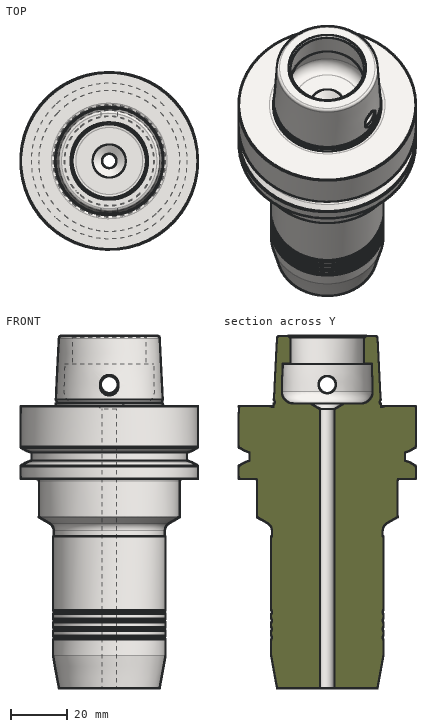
import cadquery as cq
import math

TOTAL_LENGTH = 124.9

BODY_RADIUS = 20.0
NOSE_END_RADIUS = 17.9
NOSE_HEIGHT = 11.6
GRIP_FIRST_Z = 18.0
GRIP_PITCH = 3.0
GRIP_COUNT = 4
GRIP_HALF_WIDTH = 0.7
GRIP_DEPTH = 0.4

BODY_TOP_Z = 53.7
NECK_RADIUS = 19.7
NECK_FILLET_START_Z = 55.8
NECK_FILLET_RADIUS = 3.0
CONE_ANGLE = math.radians(30)

BOSS_RADIUS = 25.0
BOSS_EDGE_FILLET = 0.4
BOSS_ROOT_FILLET = 0.6
FLANGE_RADIUS = 31.5
FLANGE_BOTTOM_Z = 74.1
FLANGE_TOP_Z = 100.0
FLANGE_CHAMFER = 0.2

GROOVE_MID_Z = 82.0
GROOVE_MOUTH_WIDTH = 6.5
GROOVE_FLOOR_RADIUS = 27.6
GROOVE_FLOOR_WIDTH = 2.7
GROOVE_WALL_RADIUS = 29.2

TAPER_RADIUS = 19.0
TAPER_BOTTOM_Z = 102.3
TAPER_SLOPE = 1 / 20
TAPER_TIP_FILLET = 1.0
RELIEF_RADIUS = 18.6
RELIEF_BOTTOM_Z = 101.2
COLLAR_TOP_Z = 100.8
FACE_GROOVE_INNER_RADIUS = 19.2
FACE_GROOVE_OUTER_RADIUS = 20.5
FACE_GROOVE_DEPTH = 0.4

BORE_RADIUS = 13.0
BORE_CHAMFER = 0.7
BORE_LENGTH = 10.0
RECESS_START_RADIUS = 15.7
RECESS_RADIUS = 16.0
RECESS_TAPER_END_DEPTH = 19.9
RECESS_FLOOR_RADIUS = 11.9
RECESS_FILLET = RECESS_RADIUS - RECESS_FLOOR_RADIUS
RECESS_FLOOR_DEPTH = RECESS_TAPER_END_DEPTH + RECESS_FILLET

PASSAGE_RADIUS = 2.5
PASSAGE_CONE_RADIUS = 5.9
PASSAGE_CONE_DEPTH = 2.0
CROSS_HOLE_Z = 107.5
CROSS_HOLE_RADIUS = 3.0
CROSS_HOLE_CHAMFER_START = 18.1

FULL_TURN = 360


def outer_body():
    """Revolve the outside of the chuck, without the grooves in body and flange."""
    fillet_rise = NECK_FILLET_RADIUS * math.cos(CONE_ANGLE)
    fillet_run = NECK_FILLET_RADIUS * (1 - math.sin(CONE_ANGLE))
    cone_radius = NECK_RADIUS + fillet_run
    cone_z = NECK_FILLET_START_Z + fillet_rise
    boss_bottom_z = cone_z + (BOSS_RADIUS - cone_radius) * math.tan(CONE_ANGLE)
    half_angle = (math.pi / 2 - CONE_ANGLE) / 2
    fillet_mid = (
        NECK_RADIUS + NECK_FILLET_RADIUS * (1 - math.cos(half_angle)),
        NECK_FILLET_START_Z + NECK_FILLET_RADIUS * math.sin(half_angle),
    )
    tip_radius = TAPER_RADIUS - (TOTAL_LENGTH - TAPER_BOTTOM_Z) * TAPER_SLOPE
    body_chamfer = BODY_RADIUS - NECK_RADIUS
    profile = (
        cq.Workplane("XZ")
        .lineTo(NOSE_END_RADIUS, 0)
        .lineTo(BODY_RADIUS, NOSE_HEIGHT)
        .lineTo(BODY_RADIUS, BODY_TOP_Z)
        .lineTo(NECK_RADIUS, BODY_TOP_Z + body_chamfer)
        .lineTo(NECK_RADIUS, NECK_FILLET_START_Z)
        .threePointArc(fillet_mid, (cone_radius, cone_z))
        .lineTo(BOSS_RADIUS, boss_bottom_z)
        .lineTo(BOSS_RADIUS, FLANGE_BOTTOM_Z)
        .lineTo(FLANGE_RADIUS, FLANGE_BOTTOM_Z)
        .lineTo(FLANGE_RADIUS, FLANGE_TOP_Z)
        .lineTo(FACE_GROOVE_OUTER_RADIUS, FLANGE_TOP_Z)
        .lineTo(FACE_GROOVE_INNER_RADIUS, FLANGE_TOP_Z - FACE_GROOVE_DEPTH)
        .lineTo(TAPER_RADIUS, COLLAR_TOP_Z)
        .lineTo(RELIEF_RADIUS, RELIEF_BOTTOM_Z)
        .lineTo(TAPER_RADIUS, TAPER_BOTTOM_Z)
        .lineTo(tip_radius, TOTAL_LENGTH)
        .lineTo(0, TOTAL_LENGTH)
        .close()
    )
    body = profile.revolve(FULL_TURN, (0, 0, 0), (0, 1, 0))
    body = body.faces(">Z").edges().fillet(TAPER_TIP_FILLET)
    body = body.edges(ring_at(BOSS_RADIUS, boss_bottom_z)).fillet(BOSS_EDGE_FILLET)
    return body.edges(ring_at(BOSS_RADIUS, FLANGE_BOTTOM_Z)).fillet(BOSS_ROOT_FILLET)


def ring_at(radius, z):
    """Selector for the circular edge of the given radius and height."""
    margin = 0.01
    reach = radius + margin
    return cq.selectors.BoxSelector(
        (-reach, -reach, z - margin), (reach, reach, z + margin), boundingbox=True
    )


def ring_cutter(points):
    """Revolve a closed outline of (radius, z) points about Z."""
    return cq.Workplane("XZ").polyline(points).close().revolve(FULL_TURN, (0, 0, 0), (0, 1, 0))


def grip_groove(z):
    """Shallow V groove around the clamping body."""
    return ring_cutter([
        (BODY_RADIUS, z - GRIP_HALF_WIDTH),
        (BODY_RADIUS - GRIP_DEPTH, z),
        (BODY_RADIUS, z + GRIP_HALF_WIDTH),
    ])


def gripper_groove():
    """Trapezoidal groove around the flange, its walls shallower near the floor."""
    half_mouth = GROOVE_MOUTH_WIDTH / 2
    half_floor = GROOVE_FLOOR_WIDTH / 2
    half_wall = half_mouth - (FLANGE_RADIUS - GROOVE_WALL_RADIUS) * math.tan(CONE_ANGLE)
    return ring_cutter([
        (FLANGE_RADIUS, GROOVE_MID_Z - half_mouth),
        (GROOVE_WALL_RADIUS, GROOVE_MID_Z - half_wall),
        (GROOVE_FLOOR_RADIUS, GROOVE_MID_Z - half_floor),
        (GROOVE_FLOOR_RADIUS, GROOVE_MID_Z + half_floor),
        (GROOVE_WALL_RADIUS, GROOVE_MID_Z + half_wall),
        (FLANGE_RADIUS, GROOVE_MID_Z + half_mouth),
    ])


def bore():
    """Bore of the taper: entry chamfer, cylinder, then a wider tapered recess with a round floor edge."""
    taper_end_z = TOTAL_LENGTH - RECESS_TAPER_END_DEPTH
    floor_z = TOTAL_LENGTH - RECESS_FLOOR_DEPTH
    diagonal = RECESS_FILLET * math.sqrt(0.5)
    profile = (
        cq.Workplane("XZ")
        .moveTo(0, TOTAL_LENGTH)
        .lineTo(BORE_RADIUS + BORE_CHAMFER, TOTAL_LENGTH)
        .lineTo(BORE_RADIUS, TOTAL_LENGTH - BORE_CHAMFER)
        .lineTo(BORE_RADIUS, TOTAL_LENGTH - BORE_LENGTH)
        .lineTo(RECESS_START_RADIUS, TOTAL_LENGTH - BORE_LENGTH)
        .lineTo(RECESS_RADIUS, taper_end_z)
        .threePointArc(
            (RECESS_FLOOR_RADIUS + diagonal, taper_end_z - diagonal),
            (RECESS_FLOOR_RADIUS, floor_z),
        )
        .lineTo(0, floor_z)
        .close()
    )
    return profile.revolve(FULL_TURN, (0, 0, 0), (0, 1, 0))


def coolant_passage():
    """Central passage down to the nose, with a conical mouth in the bore floor."""
    floor_z = TOTAL_LENGTH - RECESS_FLOOR_DEPTH
    return ring_cutter([
        (0, 0),
        (PASSAGE_RADIUS, 0),
        (PASSAGE_RADIUS, floor_z - PASSAGE_CONE_DEPTH),
        (PASSAGE_CONE_RADIUS, floor_z),
        (0, floor_z),
    ])


def cross_hole():
    """Hole through both taper walls along Y, chamfered where it leaves the taper."""
    mouth_radius = CROSS_HOLE_RADIUS + TAPER_RADIUS - CROSS_HOLE_CHAMFER_START
    hole = ring_cutter([
        (0, -TAPER_RADIUS),
        (mouth_radius, -TAPER_RADIUS),
        (CROSS_HOLE_RADIUS, -CROSS_HOLE_CHAMFER_START),
        (CROSS_HOLE_RADIUS, CROSS_HOLE_CHAMFER_START),
        (mouth_radius, TAPER_RADIUS),
        (0, TAPER_RADIUS),
    ])
    return hole.rotate((0, 0, 0), (1, 0, 0), 90).translate((0, 0, CROSS_HOLE_Z))


flange_rims = cq.selectors.RadiusNthSelector(-1)
result = outer_body().cut(gripper_groove())
result = result.edges(flange_rims).chamfer(FLANGE_CHAMFER)
for index in range(GRIP_COUNT):
    result = result.cut(grip_groove(GRIP_FIRST_Z + index * GRIP_PITCH))
result = result.cut(bore()).cut(coolant_passage()).cut(cross_hole())